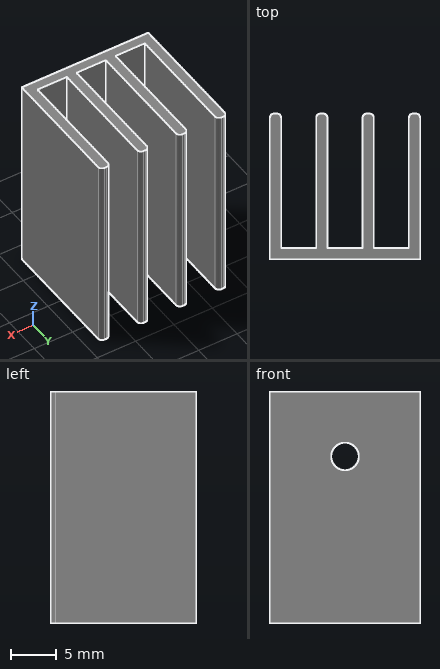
import cadquery as cq

width = 16.5
depth = 16.0
height = 25.4
base_thickness = 1.27
fin_thickness = 1.27
fin_count = 4
fin_tip_radius = 0.5
hole_diameter = 3.0
hole_height = 18.3

fin_pitch = (width - fin_thickness) / (fin_count - 1)


def make_base():
    """Flat mounting plate, with its outer face on Y = 0."""
    return cq.Workplane("XY").box(width, base_thickness, height, centered=(True, False, False))


def make_fin(center_x):
    """Full-height fin whose two vertical tip edges are rounded."""
    fin = cq.Workplane("XY").box(fin_thickness, depth, height, centered=(True, False, False))
    return fin.faces(">Y").edges("|Z").fillet(fin_tip_radius).translate((center_x, 0, 0))


def make_hole():
    """Cutter for the mounting hole through the base, between the two inner fins."""
    return (
        cq.Workplane("XZ", origin=(0, 0, hole_height))
        .circle(hole_diameter / 2)
        .extrude(-base_thickness)
    )


result = make_base()
for index in range(fin_count):
    result = result.union(make_fin((index - (fin_count - 1) / 2) * fin_pitch))
result = result.cut(make_hole())